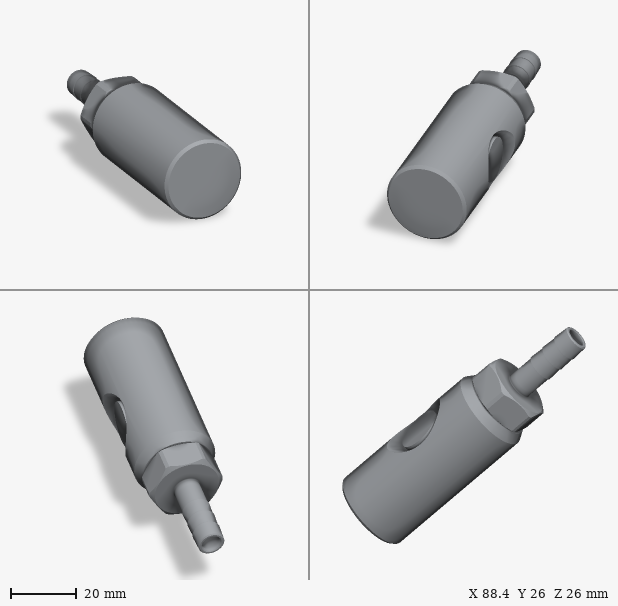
import cadquery as cq
import math

nut_start = 24.75
nut_end = 33.9
taper_end = 36.95
overall_length = 88.4

body_radius = 13.0
taper_start_radius = 11.2
end_chamfer_length = 1.0
end_chamfer_height = 0.9

stem_radius = 4.15
barb_radius = 4.4
barb_count = 3
barb_section_end = 15.5
tip_chamfer = 0.35
barb_pitch = (barb_section_end - tip_chamfer) / barb_count
stem_fillet = 0.35

bore_radius = 3.0
bore_chamfer = 0.3
bore_depth = nut_end

nut_across_flats = 21.0
nut_across_corners = 23.6
nut_corner_radius = nut_across_corners / 2
nut_face_radius = 10.25
nut_front_chamfer = 1.1
nut_rear_chamfer = 0.8

recess_x = 57.1
recess_mouth_radius = 11.4
button_radius = 7.1
button_top = 10.6


def revolved_about_x(profile):
    """Revolve (x, radius) points, closed along the X axis, about that axis."""
    axis_ends = [(profile[-1][0], 0), (profile[0][0], 0)]
    outline = cq.Workplane("XZ").polyline(profile + axis_ends).close()
    return outline.revolve(360, (0, 0, 0), (1, 0, 0))


def make_barb():
    profile = [(0, stem_radius - tip_chamfer), (tip_chamfer, stem_radius)]
    for index in range(1, barb_count + 1):
        crest_x = tip_chamfer + index * barb_pitch
        profile.append((crest_x, barb_radius))
        profile.append((crest_x, stem_radius))
    profile.append((nut_start, stem_radius))
    return revolved_about_x(profile)


def make_nut():
    length = nut_end - nut_start
    sharp_corner_diameter = nut_across_flats / math.cos(math.pi / 6)
    hexagon = (
        cq.Workplane("YZ", origin=(nut_start, 0, 0))
        .polygon(6, sharp_corner_diameter)
        .extrude(length)
    )
    turned_envelope = revolved_about_x([
        (nut_start, nut_face_radius),
        (nut_start + nut_front_chamfer, nut_corner_radius),
        (nut_end - nut_rear_chamfer, nut_corner_radius),
        (nut_end, nut_face_radius),
    ])
    return hexagon.intersect(turned_envelope)


def make_sleeve():
    return revolved_about_x([
        (nut_end, taper_start_radius),
        (taper_end, body_radius),
        (overall_length - end_chamfer_length, body_radius),
        (overall_length, body_radius - end_chamfer_height),
    ])


def make_recess():
    """45 degree cone down to the button radius, leaving the button standing."""
    depth = recess_mouth_radius - button_radius
    floor = body_radius - depth
    cone = (
        cq.Workplane("XY")
        .polyline([
            (recess_x, floor),
            (recess_x + button_radius, floor),
            (recess_x + recess_mouth_radius, body_radius),
            (recess_x, body_radius),
        ])
        .close()
        .revolve(360, (recess_x, 0, 0), (recess_x, 1, 0))
    )
    button = (
        cq.Workplane("XZ", origin=(recess_x, floor, 0))
        .circle(button_radius)
        .extrude(floor - button_top)
    )
    return cone.cut(button)


def make_bore():
    return revolved_about_x([
        (0, bore_radius + bore_chamfer),
        (bore_chamfer, bore_radius),
        (bore_depth, bore_radius),
    ])


def make_stem_fillet():
    """Concave ring blending the stem into the front face of the nut."""
    arc_offset = stem_fillet * (1 - math.sqrt(0.5))
    return (
        cq.Workplane("XZ")
        .moveTo(nut_start - stem_fillet, 0)
        .lineTo(nut_start - stem_fillet, stem_radius)
        .threePointArc(
            (nut_start - arc_offset, stem_radius + arc_offset),
            (nut_start, stem_radius + stem_fillet),
        )
        .lineTo(nut_start, 0)
        .close()
        .revolve(360, (0, 0, 0), (1, 0, 0))
    )


sleeve = make_sleeve().cut(make_recess())
outside = make_barb().union(make_stem_fillet()).union(make_nut()).union(sleeve)
result = outside.cut(make_bore())